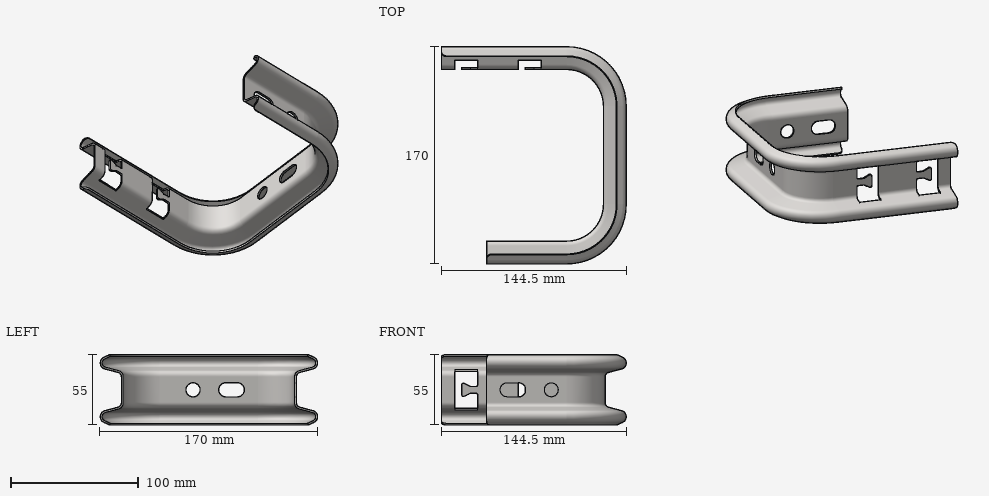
import cadquery as cq
import math

back_x = 144.5
overall_width = 170.0
overall_height = 55.0
short_leg_start = 35.4
outer_corner_radius = 46.5

channel_depth = 18.0
sheet = 1.5
inner_bend = 3.4
outer_bend = inner_bend + sheet
web_half_height = 10.2
flange_angle = 15.0
lip_angle = 25.0
lip_corner_radius = 3.9

window_start = 10.4
window_length = 17.9
window_depth = 7.1
window_pitch = 49.6
tab_tip_gap = 5.5
tab_tip_half_height = 6.1
tab_neck_half_height = 2.7
tab_flare_length = 6.8
tab_tip_rounding = 1.4
tab_root_rounding = 1.2

hole_diameter = 10.9
slot_length = 19.9
hole_spacing = 30.1
leg_hole_x = 85.9
back_hole_y = 12.4

half_width = overall_width / 2
web_y = half_width - channel_depth
web_x = back_x - channel_depth
corner_x = back_x - outer_corner_radius
corner_y = half_width - outer_corner_radius


def polar(center, radius, degrees):
    angle = math.radians(degrees)
    return (center[0] + radius * math.cos(angle), center[1] + radius * math.sin(angle))


def sheet_face_points(web_bend_radius, curl_radius):
    """Points of one sheet face from the web to the upper lip, as (depth from the web, height)."""
    slope = math.radians(flange_angle)
    web_bend = (outer_bend, web_half_height)
    curl_depth = channel_depth - outer_bend
    rise = (inner_bend + outer_bend + (curl_depth - outer_bend) * math.sin(slope)) / math.cos(slope)
    curl = (curl_depth, web_half_height + rise)

    flange_normal = 90 + flange_angle
    curl_start = flange_angle - 90
    curl_end = 90 - lip_angle
    lip_rise = overall_height / 2 - polar(curl, outer_bend, curl_end)[1]
    lip_length = lip_rise / math.sin(math.radians(lip_angle))
    lip_start = polar(curl, curl_radius, curl_end)
    return [
        polar(web_bend, web_bend_radius, 180),
        polar(web_bend, web_bend_radius, (180 + flange_normal) / 2),
        polar(web_bend, web_bend_radius, flange_normal),
        polar(curl, curl_radius, curl_start),
        polar(curl, curl_radius, (curl_start + curl_end) / 2),
        lip_start,
        polar(lip_start, lip_length, 180 - lip_angle),
    ]


def trace_face(outline, points):
    """Follow one sheet face from lip to lip: a straight before each of its four bends."""
    for straight_end in (1, 4, 7, 10):
        outline = outline.lineTo(*points[straight_end])
        outline = outline.threePointArc(points[straight_end + 1], points[straight_end + 2])
    return outline.lineTo(*points[-1])


def channel_profile(plane, web_offset):
    """Closed channel section, its web facing the inside of the bracket at web_offset."""
    faces = []
    for radii in ((outer_bend, inner_bend), (inner_bend, outer_bend)):
        upper = [(web_offset + depth, z) for depth, z in sheet_face_points(*radii)]
        lower = [(depth, -z) for depth, z in reversed(upper)]
        faces.append(lower + upper)
    inside, outside = faces
    outside.reverse()
    outline = trace_face(cq.Workplane(plane).moveTo(*inside[0]), inside)
    outline = outline.lineTo(*outside[0])
    return trace_face(outline, outside).close()


def leg(start_x):
    """Straight leg on the +Y side, with the free corners of both lips rounded."""
    plane = cq.Plane.YZ(origin=(start_x, 0, 0))
    body = channel_profile(plane, web_y).extrude(corner_x - start_x)
    lip_corners = body.faces("<X").edges(">Z or <Z")
    return lip_corners.fillet(lip_corner_radius)


def corner():
    """Quarter bend joining the +Y leg to the back."""
    plane = cq.Plane.YZ(origin=(corner_x, 0, 0))
    return channel_profile(plane, web_y).revolve(90, (corner_y, 1.7, 0), (corner_y, 0, 0))


def back():
    plane = cq.Plane.XZ(origin=(0, corner_y, 0))
    return channel_profile(plane, web_x).extrude(2 * corner_y)


def window_cutter(start_x):
    """Window through the web and into both flanges, leaving a dovetail tab in the web."""
    tip_x = start_x + tab_tip_gap
    neck_x = tip_x + tab_flare_length
    root_x = start_x + window_length
    cut_start = web_y - sheet
    cut_length = window_depth + sheet
    plane = cq.Plane.XZ(origin=(0, cut_start, 0))

    upper_edge = [
        (tip_x, tab_tip_half_height),
        (neck_x, tab_neck_half_height),
        (root_x, tab_neck_half_height),
    ]
    lower_edge = [(x, -z) for x, z in reversed(upper_edge)]
    tab = cq.Workplane(plane).polyline(upper_edge + lower_edge).close().extrude(-cut_length)
    tab = tab.edges("|Y and <X").fillet(tab_tip_rounding)

    window = cq.Workplane(plane).center(start_x + window_length / 2, 0)
    window = window.rect(window_length, overall_height).extrude(-cut_length).cut(tab)
    around_root = cq.selectors.BoxSelector(
        (neck_x + tab_root_rounding, cut_start, -tab_tip_half_height),
        (root_x + tab_root_rounding, cut_start + cut_length, tab_tip_half_height),
    )
    return window.edges("|Y").edges(around_root).fillet(tab_root_rounding)


def hole_and_slot(face):
    """Cutters for a round hole at the origin of the workplane and a slot beside it."""
    hole = face.circle(hole_diameter / 2).extrude(2 * channel_depth, both=True)
    slot = face.center(-hole_spacing, 0).slot2D(slot_length, hole_diameter)
    return hole.union(slot.extrude(2 * channel_depth, both=True))


long_leg = leg(0)
short_leg = leg(short_leg_start).mirror("XZ")
upper_corner = corner()
lower_corner = upper_corner.mirror("XZ")
result = long_leg.union(upper_corner).union(back()).union(lower_corner).union(short_leg)

for start_x in (window_start, window_start + window_pitch):
    result = result.cut(window_cutter(start_x))

short_leg_face = cq.Workplane(cq.Plane.XZ(origin=(leg_hole_x, -web_y, 0)))
back_face = cq.Workplane(cq.Plane.YZ(origin=(web_x, back_hole_y, 0)))
for face in (short_leg_face, back_face):
    result = result.cut(hole_and_slot(face))